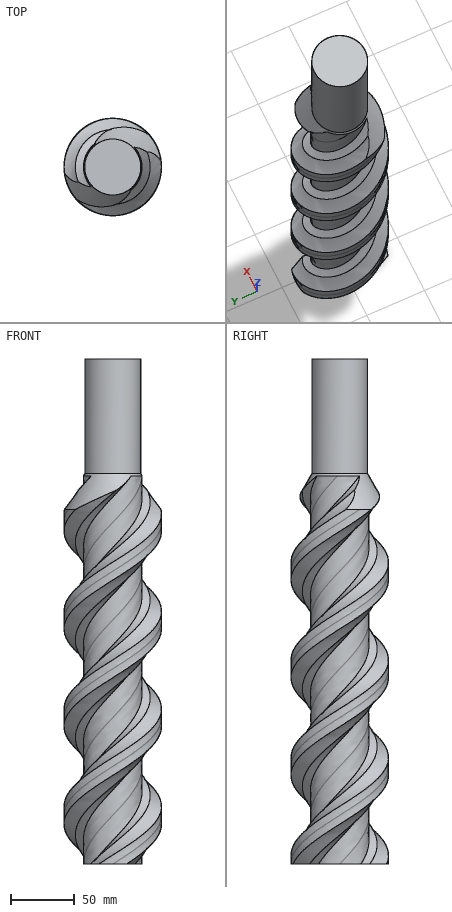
import cadquery as cq
import math

ROTOR_DIAMETER = 230 / 3
ROTOR_LENGTH = 4 * ROTOR_DIAMETER
ROTOR_TWIST = 720.0
CORE_DIAMETER = 0.6 * ROTOR_DIAMETER
LOBE_COUNT = 2
FIRST_LOBE_ANGLE = 90.0
TIP_HALF_ANGLE = 16.5
NECK_RADIUS = 29.4
NECK_ANGLE = 36.5
ROOT_ANGLE = 43.5
SHAFT_DIAMETER = 44.0
SHAFT_LENGTH = 90.0
TOP_BEVEL_ANGLE = 60.0
ENVELOPE_CLEARANCE = 1.0

TIP_RADIUS = ROTOR_DIAMETER / 2
CORE_RADIUS = CORE_DIAMETER / 2
SHAFT_RADIUS = SHAFT_DIAMETER / 2


def polar(radius, angle):
    """Point at a radius and an angle in degrees about the rotor axis."""
    a = math.radians(angle)
    return (radius * math.cos(a), radius * math.sin(a))


def rotor_profile():
    """Closed outline: each lobe has a tip arc, straight tapered flanks and necks, and core arcs."""
    lobe_pitch = 360 / LOBE_COUNT
    valley_angle = lobe_pitch / 2
    half_tip_angle = TIP_HALF_ANGLE / 2
    half_core_angle = (ROOT_ANGLE + valley_angle) / 2

    outline = cq.Workplane("XY").moveTo(*polar(TIP_RADIUS, FIRST_LOBE_ANGLE))
    for index in range(LOBE_COUNT):
        lobe = FIRST_LOBE_ANGLE + index * lobe_pitch
        next_lobe = lobe + lobe_pitch
        outline = (
            outline.threePointArc(
                polar(TIP_RADIUS, lobe + half_tip_angle),
                polar(TIP_RADIUS, lobe + TIP_HALF_ANGLE),
            )
            .lineTo(*polar(NECK_RADIUS, lobe + NECK_ANGLE))
            .lineTo(*polar(CORE_RADIUS, lobe + ROOT_ANGLE))
            .threePointArc(
                polar(CORE_RADIUS, lobe + half_core_angle),
                polar(CORE_RADIUS, lobe + valley_angle),
            )
        )
        outline = (
            outline.threePointArc(
                polar(CORE_RADIUS, next_lobe - half_core_angle),
                polar(CORE_RADIUS, next_lobe - ROOT_ANGLE),
            )
            .lineTo(*polar(NECK_RADIUS, next_lobe - NECK_ANGLE))
            .lineTo(*polar(TIP_RADIUS, next_lobe - TIP_HALF_ANGLE))
            .threePointArc(
                polar(TIP_RADIUS, next_lobe - half_tip_angle),
                polar(TIP_RADIUS, next_lobe),
            )
        )
    return outline.close()


def bevel_envelope():
    """Solid of revolution that bevels the top of the lobes down to the shaft."""
    bevel_slope = math.tan(math.radians(TOP_BEVEL_ANGLE))
    clear_radius = TIP_RADIUS + ENVELOPE_CLEARANCE
    clear_height = ROTOR_LENGTH - (clear_radius - SHAFT_RADIUS) * bevel_slope
    return (
        cq.Workplane("XZ")
        .moveTo(0, -ENVELOPE_CLEARANCE)
        .lineTo(clear_radius, -ENVELOPE_CLEARANCE)
        .lineTo(clear_radius, clear_height)
        .lineTo(SHAFT_RADIUS, ROTOR_LENGTH)
        .lineTo(0, ROTOR_LENGTH)
        .close()
        .revolve(360, (0, 0, 0), (0, 1, 0))
    )


def rotor():
    """Twisted lobes, bevelled at the shaft end."""
    return rotor_profile().twistExtrude(ROTOR_LENGTH, ROTOR_TWIST).intersect(bevel_envelope())


def shaft():
    """Plain round shaft standing on the rotor."""
    return cq.Workplane("XY", origin=(0, 0, ROTOR_LENGTH)).circle(SHAFT_RADIUS).extrude(SHAFT_LENGTH)


result = rotor().union(shaft())